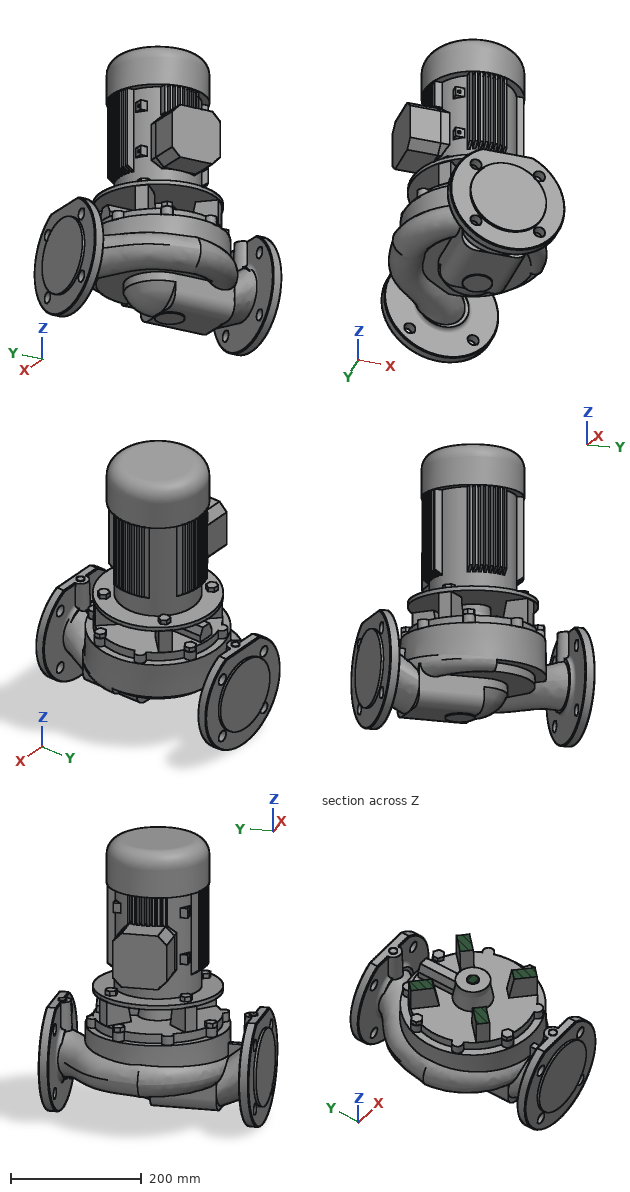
import cadquery as cq
import math


pipe_end_y = 170.0
flange_radius = 92.5
flange_back_y = 150.0
flange_face_y = 166.0
flange_flat_z = 83.0
flange_edge_chamfer = 1.5
raised_face_radius = 61.0
flange_hole_radius = 9.0
flange_hole_count = 4
flange_pitch_radius = 72.5
gauge_boss_radius = 13.5
gauge_boss_base_radius = 15.5
gauge_boss_y = 151.0
gauge_plug_radius = 6.5
gauge_plug_rise = 1.5
collar_radius = 42.0
collar_fillet = 7.0
gauge_boss_base_z = 30.0

rim_radius = 111.4
rim_base_radius = 112.6
rim_top_z = 57.5
core_radius = 95.0
core_bottom_z = -14.0
volute_start_radius = 15.0
volute_end_radius = 28.0
volute_start_reach = rim_base_radius
volute_end_reach = 129.8
volute_steps = 6
volute_reach_power = 1.5

discharge_stations = [
    (-91.5, 46.0, 67.0, 28.0),
    (-67.0, 84.0, 48.0, 29.0),
    (-36.0, 108.0, 45.0, 31.0),
    (-12.0, 132.0, 60.0, 35.0),
    (-3.0, 151.0, 88.0, 41.0),
]

duct_half_width = 53.0
duct_bottom_z = -64.0
duct_corner_radius = 22.0
duct_end_y = -105.0
bowl_top_z = -28.0
bowl_middle = (37.5, -49.5)
neck_height_half = 36.0
neck_flange_radius = 45.0
neck_overlap = 1.0
duct_pad_radius = 23.0
duct_pad_y = -21.0
duct_pad_rise = 2.0
web_thickness = 10.0
web_top_z = 35.0

cover_radius = 99.0
cover_top_z = 72.0
lug_count = 8
bolt_count = 4
bolt_pitch_radius = 101.0
bolt_lug_radius = 9.3
bolt_head_corners = 19.2
bolt_head_height = 7.5
leg_count = 4
first_leg_angle = 45.0
leg_width = 21.0
leg_outer_radius = 98.0
leg_inner_top = 62.0
leg_inner_bottom = 54.0
seal_base_radius = 31.5
seal_top_radius = 27.0
seal_shoulder_z = 97.5
seal_top_z = 109.5
vent_reach = 93.8
vent_half_width = 14.0
vent_shoulder_z = 83.0
vent_top_half_width = 8.0
vent_top_z = 95.8

motor_flange_radius = 100.0
motor_flange_bottom_z = 111.7
motor_flange_top_z = 118.4
motor_bolt_count = leg_count
motor_bolt_pitch_radius = 83.5
stub_radius = 9.5
motor_radius = 67.3
cowl_radius = 79.0
cowl_bottom_z = 285.0
motor_top_z = 355.0
cowl_round = 25.0
fin_radius = 78.0
fin_bottom_z = 150.0
fin_chamfer_height = 8.0
fin_count = 8
fin_pitch = 8.0
fin_thickness = 4.0
fin_root_depth = 12.0
lug_outer_x = -48.0
lug_inner_x = -33.0
lug_outer_y = 58.7
lug_root_y = 40.0
lug_height = 15.5
lug_centers_z = (179.5, 254.3)
lug_hole_x = -42.0
lug_hole_radius = 2.5
lug_hole_depth = 6.0

box_outer_x = -116.0
box_seam_x = -66.5
box_half_width = 42.7
box_bottom_z = 150.5
box_top_z = 237.0
box_corner = 14.0
short_fin_bottom_z = box_top_z + 2.0


def cylinder(radius, bottom, top):
    """Upright cylinder about the shaft axis."""
    return cq.Workplane("XY").workplane(offset=bottom).circle(radius).extrude(top - bottom)


def ring_of_points(count, radius, first_angle):
    """Evenly spaced points on a circle."""
    angles = [math.radians(first_angle + 360 * i / count) for i in range(count)]
    return [(radius * math.cos(a), radius * math.sin(a)) for a in angles]


def hex_heads(points, bottom, corner_angle):
    """Hexagon bolt heads standing on one level, each with a corner at the given angle."""
    head = cq.Workplane("XY").polygon(6, bolt_head_corners).extrude(bolt_head_height)
    head = head.rotate((0, 0, 0), (0, 0, 1), corner_angle)
    heads = cq.Workplane("XY").workplane(offset=bottom).pushPoints(points)
    return heads.eachpoint(head.val(), combine=False)


def round_section(x, y, heading, radius):
    """Upright circle whose normal points along the heading in the XY plane."""
    angle = math.radians(heading)
    direction = cq.Vector(math.cos(angle), math.sin(angle), 0)
    return cq.Wire.makeCircle(radius, cq.Vector(x, y, 0), direction)


def volute():
    """Scroll that grows clockwise from the +X side to the -X side, then leads to the outlet."""
    sections = []
    for step in range(volute_steps + 1):
        share = step / volute_steps
        angle = math.radians(-180 * share)
        radius = volute_start_radius + share * (volute_end_radius - volute_start_radius)
        reach = volute_start_reach + share**volute_reach_power * (volute_end_reach - volute_start_reach)
        path = reach - radius
        x = path * math.cos(angle)
        y = path * math.sin(angle)
        sections.append(round_section(x, y, math.degrees(angle) - 90, radius))
    scroll = cq.Solid.makeLoft(sections)
    outlet_sections = [sections[-1]] + [round_section(*station) for station in discharge_stations]
    outlet = cq.Solid.makeLoft(outlet_sections)
    return cq.Workplane(scroll).union(cq.Workplane(outlet))


def suction_duct():
    """Channel with a rounded bowl below the impeller and an oval neck up to the flange."""
    depth = -duct_bottom_z
    channel = (
        cq.Workplane("XY")
        .workplane(offset=duct_bottom_z)
        .center(0, duct_end_y / 2)
        .rect(2 * duct_half_width, -duct_end_y)
        .extrude(depth)
        .edges("<Z and |Y")
        .fillet(duct_corner_radius)
    )
    bowl = (
        cq.Workplane("XZ")
        .lineTo(duct_half_width, 0)
        .lineTo(duct_half_width, bowl_top_z)
        .threePointArc(bowl_middle, (0, duct_bottom_z))
        .close()
        .revolve(360, (0, 0), (0, 1))
    )
    neck_center_z = duct_bottom_z + neck_height_half
    neck = (
        cq.Workplane("XZ", origin=(0, duct_end_y, 0))
        .center(0, neck_center_z)
        .ellipse(duct_half_width, neck_height_half)
        .workplane(offset=duct_end_y + flange_back_y + neck_overlap)
        .center(0, -neck_center_z)
        .ellipse(neck_flange_radius, neck_flange_radius)
        .loft()
    )
    pad = cylinder(duct_pad_radius, duct_bottom_z - duct_pad_rise, 0).translate((0, duct_pad_y, 0))
    web_length = duct_end_y + flange_back_y
    web = (
        cq.Workplane("XY")
        .center(0, duct_end_y - web_length / 2)
        .rect(web_thickness, web_length)
        .extrude(web_top_z)
    )
    return channel.union(bowl).union(neck).union(pad).union(web)


def pipe_flange():
    """Flange at the -Y end: flat top, raised face, four holes and a plugged gauge boss."""
    flange = (
        cq.Workplane("XZ", origin=(0, -flange_back_y, 0))
        .circle(flange_radius)
        .extrude(flange_face_y - flange_back_y)
    )
    flat = cq.Workplane("XY").workplane(offset=flange_flat_z)
    flange = flange.cut(flat.rect(4 * flange_radius, 4 * pipe_end_y).extrude(flange_radius))
    flange = flange.faces("<Y or >Y").edges().chamfer(flange_edge_chamfer)
    raised = (
        cq.Workplane("XZ", origin=(0, -flange_face_y, 0))
        .circle(raised_face_radius)
        .extrude(pipe_end_y - flange_face_y)
    )
    holes = (
        cq.Workplane("XZ", origin=(0, -flange_back_y, 0))
        .pushPoints(ring_of_points(flange_hole_count, flange_pitch_radius, 180 / flange_hole_count))
        .circle(flange_hole_radius)
        .extrude(pipe_end_y - flange_back_y)
    )
    flange = flange.union(raised).cut(holes)
    boss = (
        cq.Workplane("XZ")
        .moveTo(0, gauge_boss_base_z)
        .lineTo(gauge_boss_base_radius, gauge_boss_base_z)
        .lineTo(gauge_boss_radius, flange_flat_z)
        .lineTo(0, flange_flat_z)
        .close()
        .revolve(360, (0, 0), (0, 1))
    )
    plug = cylinder(gauge_plug_radius, gauge_boss_base_z, flange_flat_z + gauge_plug_rise)
    arc_middle = collar_fillet * (1 - math.sqrt(0.5))
    collar = (
        cq.Workplane("XY")
        .moveTo(0, -flange_back_y)
        .lineTo(collar_radius + collar_fillet, -flange_back_y)
        .threePointArc(
            (collar_radius + arc_middle, -flange_back_y + arc_middle),
            (collar_radius, -flange_back_y + collar_fillet),
        )
        .lineTo(0, -flange_back_y + collar_fillet)
        .close()
        .revolve(360, (0, 0), (0, 1))
    )
    return flange.union(collar).union(boss.union(plug).translate((0, -gauge_boss_y, 0)))


def build_casing():
    rim = (
        cq.Workplane("XZ")
        .lineTo(rim_base_radius, 0)
        .lineTo(rim_radius, rim_top_z)
        .lineTo(0, rim_top_z)
        .close()
        .revolve(360, (0, 0), (0, 1))
    )
    core = cylinder(core_radius, core_bottom_z, rim_top_z)
    inlet_flange = pipe_flange()
    outlet_flange = pipe_flange().mirror("XZ")
    casing = rim.union(core).union(volute()).union(suction_duct())
    return casing.union(inlet_flange).union(outlet_flange)


def lantern_leg(angle):
    """Radial leg whose inner end leans towards the shaft at its foot."""
    return (
        cq.Workplane("XZ")
        .moveTo(leg_outer_radius, rim_top_z)
        .lineTo(leg_outer_radius, motor_flange_bottom_z)
        .lineTo(leg_inner_top, motor_flange_bottom_z)
        .lineTo(leg_inner_bottom, cover_top_z)
        .lineTo(leg_inner_bottom, rim_top_z)
        .close()
        .extrude(leg_width / 2, both=True)
        .rotate((0, 0, 0), (0, 0, 1), angle)
    )


def build_lantern():
    first_lug_angle = 180 / lug_count
    lug_points = ring_of_points(lug_count, bolt_pitch_radius, first_lug_angle)
    bolt_points = ring_of_points(bolt_count, bolt_pitch_radius, -first_lug_angle)
    lugs = (
        cq.Workplane("XY")
        .workplane(offset=rim_top_z)
        .pushPoints(lug_points)
        .circle(bolt_lug_radius)
        .extrude(cover_top_z - rim_top_z)
    )
    seal_housing = (
        cq.Workplane("XZ")
        .moveTo(0, rim_top_z)
        .lineTo(seal_base_radius, rim_top_z)
        .lineTo(seal_base_radius, cover_top_z)
        .lineTo(seal_top_radius, seal_shoulder_z)
        .lineTo(seal_top_radius, seal_top_z)
        .lineTo(0, seal_top_z)
        .close()
        .revolve(360, (0, 0), (0, 1))
    )
    vent = (
        cq.Workplane("XZ")
        .moveTo(-vent_half_width, rim_top_z)
        .lineTo(vent_half_width, rim_top_z)
        .lineTo(vent_half_width, vent_shoulder_z)
        .lineTo(vent_top_half_width, vent_top_z)
        .lineTo(-vent_top_half_width, vent_top_z)
        .lineTo(-vent_half_width, vent_shoulder_z)
        .close()
        .extrude(-vent_reach)
    )
    lantern = cylinder(cover_radius, rim_top_z, cover_top_z).union(lugs)
    lantern = lantern.union(hex_heads(bolt_points, cover_top_z, 90))
    for i in range(leg_count):
        lantern = lantern.union(lantern_leg(first_leg_angle + 360 * i / leg_count))
    return lantern.union(seal_housing).union(vent)


def box_prism(outer_x, inner_x):
    """Octagonal terminal box stretch along X."""
    return (
        cq.Workplane("YZ", origin=(outer_x, 0, 0))
        .center(0, (box_bottom_z + box_top_z) / 2)
        .rect(2 * box_half_width, box_top_z - box_bottom_z)
        .extrude(inner_x - outer_x)
        .edges("|X")
        .chamfer(box_corner)
    )


def fin_set(angle, bottom):
    """Parallel cooling fins on one side of the motor, before they are trimmed to the fin envelope."""
    root = math.sqrt(motor_radius**2 - (fin_pitch * fin_count / 2) ** 2) - fin_root_depth
    length = fin_radius - root
    fins = (
        cq.Workplane("XY")
        .workplane(offset=bottom)
        .center(root + length / 2, 0)
        .rarray(1, fin_pitch, 1, fin_count)
        .rect(length, fin_thickness)
        .extrude(cowl_bottom_z - bottom)
    )
    return fins.rotate((0, 0, 0), (0, 0, 1), angle)


def fin_envelope():
    """Cylinder that bounds the fin tips, tapered at its lower end."""
    return (
        cq.Workplane("XZ")
        .moveTo(0, fin_bottom_z)
        .lineTo(motor_radius, fin_bottom_z)
        .lineTo(fin_radius, fin_bottom_z + fin_chamfer_height)
        .lineTo(fin_radius, cowl_bottom_z)
        .lineTo(0, cowl_bottom_z)
        .close()
        .revolve(360, (0, 0), (0, 1))
    )


def lifting_lug(side, center_z):
    """Small block with a blind hole on the -X half; side is +1 or -1 along Y."""
    block = cq.Workplane("XY").box(
        lug_inner_x - lug_outer_x, lug_outer_y - lug_root_y, lug_height
    )
    block = block.translate(
        ((lug_inner_x + lug_outer_x) / 2, side * (lug_outer_y + lug_root_y) / 2, center_z)
    )
    hole = (
        cq.Workplane("XZ", origin=(lug_hole_x, side * lug_outer_y, center_z))
        .circle(lug_hole_radius)
        .extrude(side * lug_hole_depth)
    )
    return block.cut(hole)


def build_motor():
    body = cylinder(motor_radius, motor_flange_bottom_z, cowl_bottom_z)
    flange = cylinder(motor_flange_radius, motor_flange_bottom_z, motor_flange_top_z)
    stub = cylinder(stub_radius, seal_top_z, motor_flange_bottom_z)
    cowl = cylinder(cowl_radius, cowl_bottom_z, motor_top_z).faces(">Z").edges().fillet(cowl_round)
    bolt_points = ring_of_points(motor_bolt_count, motor_bolt_pitch_radius, first_leg_angle)
    bolts = hex_heads(bolt_points, motor_flange_top_z, 0)
    motor = body.union(flange).union(stub).union(cowl).union(bolts)
    for angle in (-90, 0, 90):
        motor = motor.union(fin_set(angle, fin_bottom_z).intersect(fin_envelope()))
    motor = motor.union(fin_set(180, short_fin_bottom_z).intersect(fin_envelope()))
    for side in (-1, 1):
        for center_z in lug_centers_z:
            motor = motor.union(lifting_lug(side, center_z))
    return motor.union(box_prism(box_seam_x, lug_inner_x))


def build_terminal_box():
    """Outer part of the terminal box, hollowed where the motor body bulges past the seam."""
    return box_prism(box_outer_x, box_seam_x).cut(cylinder(motor_radius, box_bottom_z, box_top_z))


casing = build_casing()
lantern = build_lantern()
motor = build_motor()
terminal_box = build_terminal_box()

result = cq.Compound.makeCompound(
    [casing.val(), lantern.val(), motor.val(), terminal_box.val()]
)